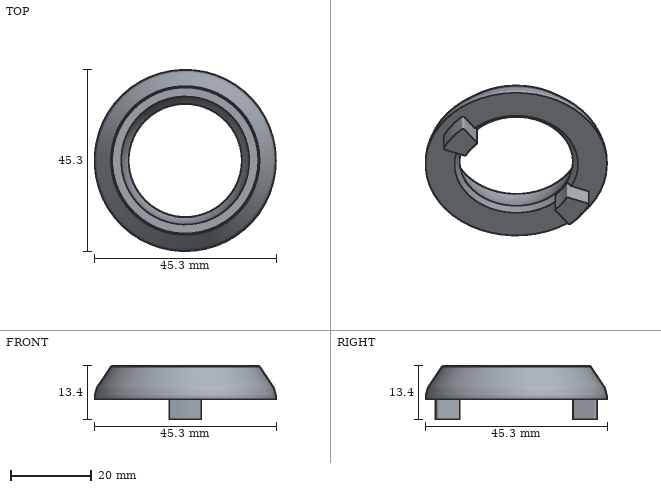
import cadquery as cq

outer_radius = 22.65
ring_height = 8.43
rim_band_height = 0.95
shoulder_height = 2.5
cone_base_height = 3.25
cone_base_radius = 21.9
shoulder_radius = 22.25
cone_top_radius = 18.57
top_flat_radius = 18.2
top_edge_drop = 0.23

bore_top_radius = 16.0
bore_throat_radius = 14.1
throat_height = 1.15
bore_bulge = 0.4
bore_base_radius = 15.4

leg_height = 5.0
leg_root_height = throat_height
leg_outer_width = 8.6
leg_inner_width = 4.7
leg_outer_radius = 20.25
leg_inner_radius = 14.25
leg_wedge_start = 13.6
leg_outer_round = 0.5
leg_inner_round = 0.25


def make_ring():
    """Revolve the bevelled outside and the concave bore around Z."""
    bore_middle = (
        (bore_top_radius + bore_throat_radius) / 2 + bore_bulge,
        (ring_height + throat_height) / 2,
    )
    return (
        cq.Workplane("XZ")
        .moveTo(bore_base_radius, 0)
        .lineTo(outer_radius, 0)
        .lineTo(outer_radius, rim_band_height)
        .lineTo(shoulder_radius, shoulder_height)
        .tangentArcPoint((cone_base_radius, cone_base_height), relative=False)
        .lineTo(cone_top_radius, ring_height - top_edge_drop)
        .lineTo(top_flat_radius, ring_height)
        .lineTo(bore_top_radius, ring_height)
        .threePointArc(bore_middle, (bore_throat_radius, throat_height))
        .close()
        .revolve(360, (0, 0, 0), (0, 1, 0))
    )


def make_leg():
    """Cut the +Y leg from an annulus and round its edges."""
    annulus = (
        cq.Workplane("XY")
        .workplane(offset=-leg_height)
        .circle(leg_outer_radius)
        .circle(leg_inner_radius)
        .extrude(leg_height + leg_root_height)
    )
    wedge = (
        cq.Workplane("XY")
        .workplane(offset=-leg_height)
        .polyline([
            (-leg_inner_width / 2, leg_wedge_start),
            (leg_inner_width / 2, leg_wedge_start),
            (leg_outer_width / 2, leg_outer_radius),
            (-leg_outer_width / 2, leg_outer_radius),
        ])
        .close()
        .extrude(leg_height + leg_root_height)
    )
    return (
        annulus.intersect(wedge)
        .edges("|Z")
        .edges(">Y")
        .fillet(leg_outer_round)
        .edges("|Z")
        .edges("<Y")
        .fillet(leg_inner_round)
    )


leg = make_leg()
result = make_ring().union(leg).union(leg.mirror("XZ"))